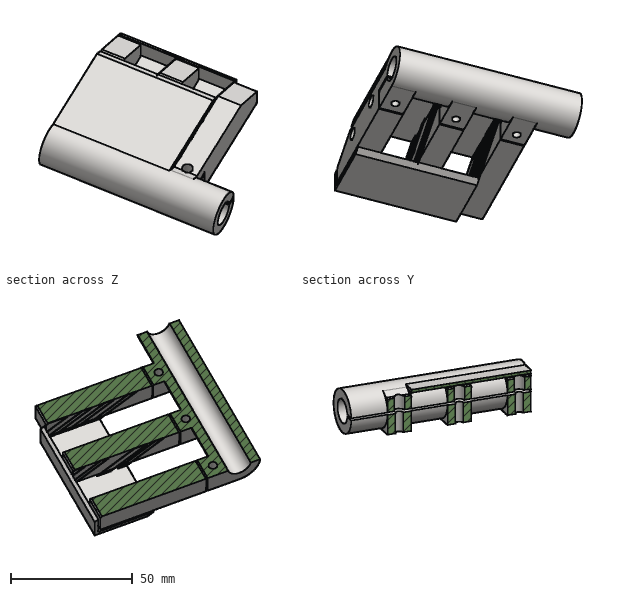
import cadquery as cq
import math


barrel_length = 80.0
barrel_radius = 9.5
bore_diameter = 10.4

arm_count = 3
arm_pitch = barrel_length / arm_count
arm_width = 10.6
arm_back = 62.9
arm_bottom = -barrel_radius
arm_top = 6.5

slant_angle = math.radians(29)
front_slant = barrel_radius
back_slant = 29.0
front_clearance = 0.1

slot_height = 1.0
slot_end = 15.0
slot_drop_width = 0.6
clamp_hole_y = 9.6
clamp_clearance_diameter = 4.5
clamp_thread_diameter = 3.4

cross_hole_diameter = 5.2
cross_hole_z = 2.0
cross_hole_y_positions = (23.8, 45.0)
cross_drilled_arms = 2

cover_length = 2 * arm_pitch
cover_gap = 1.0
cover_wall = 1.6
cover_inner_back = arm_back + cover_gap
cover_inner_bottom = arm_bottom - cover_gap
cover_inner_top = arm_top + cover_gap
cover_back = cover_inner_back + cover_wall
cover_bottom = cover_inner_bottom - cover_wall
cover_top = cover_inner_top + cover_wall
cover_front_slant = front_slant + front_clearance

web_thickness = 0.2
middle_web_slots = ((2.2, 5.5), (7.4, 12.9), (15.8, 17.4))
end_web_slots = ((4.3, 7.4), (9.6, 12.3), (14.5, 17.4))


def slant_y(distance, z):
    """Y of the slanted plane at the given distance from the barrel axis, at height z."""
    return (distance - z * math.cos(slant_angle)) / math.sin(slant_angle)


def slant_z(distance, y):
    """Z of the slanted plane at the given distance from the barrel axis, at depth y."""
    return (distance - y * math.sin(slant_angle)) / math.cos(slant_angle)


def extrude_profile(points, x_start, length):
    """Extrude a closed (y, z) polygon along +X."""
    return cq.Workplane("YZ", origin=(x_start, 0, 0)).polyline(points).close().extrude(length)


def x_cylinder(y, z, diameter, x_start, length):
    """Cylinder along +X."""
    return cq.Workplane("YZ", origin=(x_start, y, z)).circle(diameter / 2).extrude(length)


def z_cylinder(x, y, diameter, z_start, height):
    """Cylinder along +Z."""
    return cq.Workplane("XY", origin=(x, y, z_start)).circle(diameter / 2).extrude(height)


def make_arm(x_start):
    """Arm plate that runs from under the barrel axis to the slanted back end."""
    tangent_y = front_slant * math.sin(slant_angle)
    tangent_z = front_slant * math.cos(slant_angle)
    profile = [
        (0, 0),
        (0, arm_bottom),
        (arm_back, arm_bottom),
        (arm_back, slant_z(back_slant, arm_back)),
        (slant_y(back_slant, arm_top), arm_top),
        (slant_y(front_slant, arm_top), arm_top),
        (tangent_y, tangent_z),
    ]
    return extrude_profile(profile, x_start, arm_width)


def make_clamp_slot():
    """L-shaped slot from the bore toward the back and then down through the bottom."""
    half_height = slot_height / 2
    drop_start = slot_end - slot_drop_width
    profile = [
        (0, half_height),
        (slot_end, half_height),
        (slot_end, arm_bottom),
        (drop_start, arm_bottom),
        (drop_start, -half_height),
        (0, -half_height),
    ]
    return extrude_profile(profile, 0, barrel_length)


def make_hinge():
    """Split barrel with three arms, clamp screw holes and cross holes."""
    hinge = x_cylinder(0, 0, 2 * barrel_radius, 0, barrel_length)
    for index in range(arm_count):
        hinge = hinge.union(make_arm(index * arm_pitch))
    hinge = hinge.cut(x_cylinder(0, 0, bore_diameter, 0, barrel_length))
    hinge = hinge.cut(make_clamp_slot())

    for index in range(arm_count):
        hole_x = index * arm_pitch + arm_width / 2
        clearance = z_cylinder(hole_x, clamp_hole_y, clamp_clearance_diameter, 0, barrel_radius)
        thread = z_cylinder(hole_x, clamp_hole_y, clamp_thread_diameter, arm_bottom, barrel_radius)
        hinge = hinge.cut(clearance).cut(thread)

    for index in range(cross_drilled_arms):
        for hole_y in cross_hole_y_positions:
            cross_hole = x_cylinder(hole_y, cross_hole_z, cross_hole_diameter, index * arm_pitch, arm_width)
            hinge = hinge.cut(cross_hole)
    return hinge


def slanted_section(back, bottom, top, x_start, length):
    """Block bounded by a back, a bottom, a top and both slanted planes."""
    profile = [
        (slant_y(cover_front_slant, bottom), bottom),
        (back, bottom),
        (back, slant_z(back_slant, back)),
        (slant_y(back_slant, top), top),
        (slant_y(cover_front_slant, top), top),
    ]
    return extrude_profile(profile, x_start, length)


def make_slat_slot(start, end, x_start):
    """Opening between two planes parallel to the slants, from the bottom to the top wall."""
    near = back_slant - end
    far = back_slant - start
    profile = [
        (slant_y(near, cover_inner_bottom), cover_inner_bottom),
        (slant_y(far, cover_inner_bottom), cover_inner_bottom),
        (slant_y(far, cover_inner_top), cover_inner_top),
        (slant_y(near, cover_inner_top), cover_inner_top),
    ]
    return extrude_profile(profile, x_start, web_thickness)


def make_web(x_start, slots):
    """Thin slatted web that fills the inner section of the cover."""
    inner = (cover_inner_back, cover_inner_bottom, cover_inner_top)
    web = slanted_section(*inner, x_start, web_thickness)
    for start, end in slots:
        slot = make_slat_slot(start, end, x_start)
        web = web.cut(slot)
    return web


def make_cover():
    """Top, back and bottom walls around the arms, joined by two webs lying against arm sides."""
    outer = slanted_section(cover_back, cover_bottom, cover_top, 0, cover_length)
    inner_profile = [
        (0, cover_inner_bottom),
        (cover_inner_back, cover_inner_bottom),
        (cover_inner_back, cover_inner_top),
        (0, cover_inner_top),
    ]
    cover = outer.cut(extrude_profile(inner_profile, 0, cover_length))
    cover = cover.union(make_web(arm_pitch - web_thickness, middle_web_slots))
    cover = cover.union(make_web(cover_length - web_thickness, end_web_slots))
    return cover


hinge = make_hinge()
cover = make_cover()

result = cq.Compound.makeCompound([hinge.val(), cover.val()])